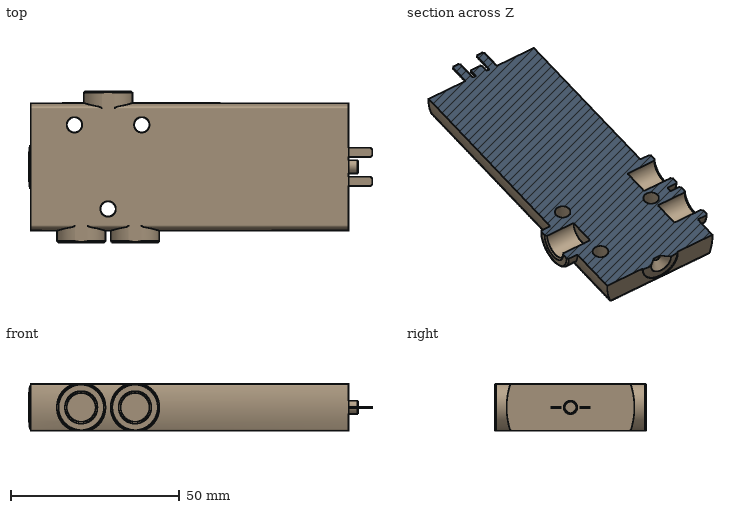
import cadquery as cq
import math

HEIGHT = 14.0
BODY_WIDTH = 38.0
PORT_SPAN = 45.0
TOTAL_LENGTH = 102.09

BLOCK_LENGTH = 46.0
PIN_LENGTH = 7.0
PLUG_PROTRUSION = 0.59
PLUG_RIM_HEIGHT = 0.3
BODY_LENGTH = TOTAL_LENGTH - PIN_LENGTH - PLUG_PROTRUSION
SIDE_BULGE = 1.15
EDGE_FILLET = 0.7

PORT_CENTER_X = BLOCK_LENGTH / 2
PORT_PITCH = 16.0
PORT_DIAMETER = 14.5
PORT_EDGE_CHAMFER = 0.5
PORT_BORE_DIAMETER = 8.57
PORT_MOUTH_DIAMETER = 9.7
PORT_BORE_DEPTH = 10.0

MOUNT_HOLE_DIAMETER = 4.5
MOUNT_PITCH_X = 20.0
MOUNT_PITCH_Y = 25.0

PLUG_DIAMETER = 12.6
CONE_DIAMETER = 7.2
CONE_ANGLE = 98.0
CONE_FLOOR_DIAMETER = 2.15

STUD_DIAMETER = 4.0
STUD_LENGTH = 2.8
STUD_CHAMFER = 0.3
PIN_WIDTH = 2.8
PIN_THICKNESS = 0.5
PIN_PITCH = 8.6
PIN_TIP_CHAMFER = 0.5


def make_body():
    """Flat bar with outward-curved long sides and softened long edges."""
    half_width = BODY_WIDTH / 2
    corner_y = half_width - SIDE_BULGE
    half_height = HEIGHT / 2
    return (
        cq.Workplane("YZ")
        .moveTo(-corner_y, half_height)
        .lineTo(corner_y, half_height)
        .threePointArc((half_width, 0), (corner_y, -half_height))
        .lineTo(-corner_y, -half_height)
        .threePointArc((-half_width, 0), (-corner_y, half_height))
        .close()
        .extrude(BODY_LENGTH)
        .edges("|X")
        .fillet(EDGE_FILLET)
    )


def make_port_boss(x, side):
    """Round boss on the given Y side (-1 or +1), cut flush with the body's top and bottom."""
    flat_start = BODY_WIDTH / 2 - SIDE_BULGE - EDGE_FILLET
    length = PORT_SPAN / 2 - flat_start
    outward = cq.Plane(origin=(x, side * flat_start, 0), xDir=(1, 0, 0), normal=(0, side, 0))
    boss = cq.Workplane(outward).circle(PORT_DIAMETER / 2).extrude(length)
    boss = boss.faces(">Y" if side > 0 else "<Y").edges().chamfer(PORT_EDGE_CHAMFER)
    slab = cq.Workplane("XY").box(2 * BODY_LENGTH, 2 * PORT_SPAN, HEIGHT)
    return boss.intersect(slab)


def make_port_bore(x, side):
    """Blind bore with a 45 degree mouth chamfer, entering from the given Y side."""
    inward = cq.Plane(origin=(x, side * PORT_SPAN / 2, 0), xDir=(1, 0, 0), normal=(0, -side, 0))
    bore_radius = PORT_BORE_DIAMETER / 2
    mouth_radius = PORT_MOUTH_DIAMETER / 2
    bore = cq.Workplane(inward).circle(bore_radius).extrude(PORT_BORE_DEPTH)
    mouth_depth = mouth_radius - bore_radius
    mouth = (
        cq.Workplane(inward)
        .circle(mouth_radius)
        .workplane(offset=mouth_depth)
        .circle(bore_radius)
        .loft()
    )
    return bore.union(mouth)


def make_plug():
    """Low disc whose face rises gently from the rim to the mouth of the conical recess."""
    return (
        cq.Workplane("XY")
        .lineTo(0, PLUG_DIAMETER / 2)
        .lineTo(-PLUG_RIM_HEIGHT, PLUG_DIAMETER / 2)
        .lineTo(-PLUG_PROTRUSION, CONE_DIAMETER / 2)
        .lineTo(-PLUG_PROTRUSION, 0)
        .close()
        .revolve(360, (0, 0, 0), (1, 0, 0))
    )


def make_plug_recess():
    """Cone narrowing to a small flat floor, open at the plug face."""
    cone_radius = CONE_DIAMETER / 2
    floor_radius = CONE_FLOOR_DIAMETER / 2
    cone_end = -PLUG_PROTRUSION + (cone_radius - floor_radius) / math.tan(math.radians(CONE_ANGLE / 2))
    return (
        cq.Workplane("XY")
        .moveTo(-PLUG_PROTRUSION, 0)
        .lineTo(-PLUG_PROTRUSION, cone_radius)
        .lineTo(cone_end, floor_radius)
        .lineTo(cone_end, 0)
        .close()
        .revolve(360, (0, 0, 0), (1, 0, 0))
    )


def make_mount_holes():
    """Two through holes on the +Y side and one midway between them on the -Y side."""
    centers = [
        (PORT_CENTER_X - MOUNT_PITCH_X / 2, MOUNT_PITCH_Y / 2),
        (PORT_CENTER_X + MOUNT_PITCH_X / 2, MOUNT_PITCH_Y / 2),
        (PORT_CENTER_X, -MOUNT_PITCH_Y / 2),
    ]
    return (
        cq.Workplane("XY", origin=(0, 0, -HEIGHT / 2))
        .pushPoints(centers)
        .circle(MOUNT_HOLE_DIAMETER / 2)
        .extrude(HEIGHT)
    )


def make_stud():
    """Round stud at the coil end with a chamfered tip."""
    return (
        cq.Workplane("YZ", origin=(BODY_LENGTH, 0, 0))
        .circle(STUD_DIAMETER / 2)
        .extrude(STUD_LENGTH)
        .faces(">X")
        .chamfer(STUD_CHAMFER)
    )


def make_pin(y):
    """Flat contact pin with chamfered tip corners."""
    return (
        cq.Workplane("XY")
        .box(PIN_LENGTH, PIN_WIDTH, PIN_THICKNESS, centered=(False, True, True))
        .edges("|Z and >X")
        .chamfer(PIN_TIP_CHAMFER)
        .translate((BODY_LENGTH, y, 0))
    )


ports = [
    (PORT_CENTER_X - PORT_PITCH / 2, -1),
    (PORT_CENTER_X + PORT_PITCH / 2, -1),
    (PORT_CENTER_X, 1),
]

result = make_body()
result = result.union(make_plug())
result = result.union(make_stud())
for pin_side in (-1, 1):
    result = result.union(make_pin(pin_side * PIN_PITCH / 2))
for port_x, port_side in ports:
    result = result.union(make_port_boss(port_x, port_side))
for port_x, port_side in ports:
    result = result.cut(make_port_bore(port_x, port_side))
result = result.cut(make_mount_holes())
result = result.cut(make_plug_recess())